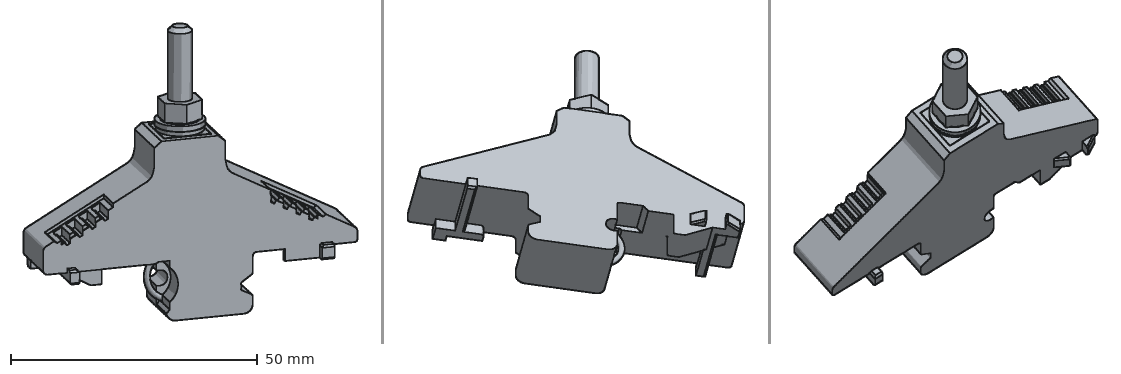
import cadquery as cq
import math


HALF_WIDTH = 6.5
REAR_END = 35.75
FRONT_END = -31.25
TOP = 38.5
NECK_HALF = 7.55
NECK_CHAMFER_Y = 1.5
NECK_CHAMFER_Z = 1.25
NECK_BEND = 33.4
ROOT_HALF = 8.05
ROOT_ROUND = 3.0
SLOPE_ANGLE = math.radians(28.4)
SLOPE_APEX = 35.15
TIP_ROUND = 1.2
REAR_HEEL_ROUND = 0.7
FRONT_HEEL_ROUND = 1.0
ARM_ROOT_ROUND = 0.8
SMALL_ROUND = 0.3
TAN = math.tan(SLOPE_ANGLE)

REAR_UNDERSIDE = 12.9
FRONT_UNDERSIDE = 12.5
UNDERCUT_TOP = 13.75
UNDERCUT_ROUND = 0.5
UNDERCUT_END = -10.3
UNDERCUT_RAMP_END = -11.4
SHELF_END = -6.7
SHELF_RAMP_END = -7.2
HOOK_FACE = -16.65
HOOK_BOTTOM = 7.1
HOOK_FLAT_END = -19.0
HOOK_RAMP_END = -28.45

FOOT_REAR = 13.45
FOOT_FRONT = -5.0
FOOT_ROUND = 2.0
REAR_NOTCH_DEPTH = 2.5
REAR_NOTCH_MOUTH_TOP = 8.4
REAR_NOTCH_FLOOR_TOP = 6.7
REAR_NOTCH_FLOOR_BOTTOM = 5.1
REAR_NOTCH_MOUTH_BOTTOM = 3.85
NOTCH_MOUTH_ROUND = 0.6
FRONT_NOTCH_HEIGHT = 7.25
FRONT_NOTCH_RADIUS = 1.65
FRONT_NOTCH_CENTRE = -4.3

POCKET_WALL = -4.3
POCKET_DEEPEST = -2.5
POCKET_BOTTOM = 4.1
POCKET_TOP = 11.4
POCKET_LEDGE = 2.5
POCKET_LIP = 1.65

WIRE_RADIUS = 0.65
SPRING_RADIUS = 5.1
SPRING_Y = -2.2
SPRING_Z = 7.95
SPRING_X = 0.75
SPRING_SLOT_WIDTH = 1.6
SPRING_SLOT_DEPTH = 3.5

CLIP_REACH = 8.3
CLIP_BOTTOM = 10.35
CLIP_TOP = 13.45
CLIP_CHAMFER = 0.45
BAR_WIDTH = 2.0
FRONT_BAR_START = -26.1
REAR_BAR_START = 24.3
BAR_LENGTH_INSIDE = 4.6
RAIL_INNER = 20.3
RAIL_OUTER = 30.3
RAIL_WIDTH = 1.9
RAIL_ROUND = 0.8
WEDGE_GAP_INNER = 23.1
WEDGE_GAP_OUTER = 27.3
WEDGE_LENGTH = 3.0
WEDGE_TIP = 0.3
WEDGE_THIN_END = 0.25
WEDGE_CHAMFER = 0.35
TAB_INNER = 27.65

REAR_GRIP_START = 17.2
REAR_GRIP_END = 29.0
REAR_GROOVES_START = 17.3
FRONT_GRIP_START = 16.35
FRONT_GRIP_END = 28.95
FRONT_GROOVES_START = 17.4
GRIP_X = 0.3
GRIP_DEPTH = 0.8
GRIP_END_RUN = 0.65
GROOVE_X = 1.1
GROOVE_PITCH = 2.7
GROOVE_COUNT = 4
GROOVE_FLOOR = 0.7
GROOVE_WALL_RUN = 0.4
GROOVE_LEDGE = 0.35
GROOVE_STEP = 0.9
RIB_END_GAP = 0.2
CUT_CLEARANCE = 1.0

STUD_TOP = 60.55
STUD_RADIUS = 2.5
STUD_CHAMFER = 0.95
PLATE_SIDE = 10.0
PLATE_RISE = 0.1
WASHER_RADIUS = 4.95
WASHER_TOP = 39.55
SPRING_WASHER_RADIUS = 5.2
SPRING_WASHER_TOP = 40.75
NUT_BOTTOM = 41.0
NUT_FLATS = 8.0
NUT_TOP = 45.1


def slope_height(y):
    """Height of the sloped tops at distance y from the stud axis."""
    return SLOPE_APEX - abs(y) * TAN


def rounded_outline(corners, x_start, length):
    """Extrude along +X a closed (y, z, radius) polygon whose corners are rounded by their radius."""
    pieces = []
    for i, (y, z, radius) in enumerate(corners):
        here = cq.Vector(y, z)
        before = (cq.Vector(*corners[i - 1][:2]) - here).normalized()
        after = (cq.Vector(*corners[(i + 1) % len(corners)][:2]) - here).normalized()
        half = before.getAngle(after) / 2
        if radius == 0:
            pieces.append((here,))
            continue
        setback = radius / math.tan(half)
        to_arc = radius / math.sin(half) - radius
        middle = here + (before + after).normalized() * to_arc
        pieces.append((here + before * setback, middle, here + after * setback))
    sketch = cq.Workplane("YZ", origin=(x_start, 0, 0)).moveTo(*pieces[0][-1].toTuple()[:2])
    for piece in pieces[1:] + pieces[:1]:
        sketch = sketch.lineTo(*piece[0].toTuple()[:2])
        if len(piece) == 3:
            sketch = sketch.threePointArc(piece[1].toTuple()[:2], piece[2].toTuple()[:2])
    return sketch.close().extrude(length)


def box(x, y, z):
    """Box between the given (low, high) limits on each axis."""
    size = [high - low for low, high in (x, y, z)]
    return cq.Workplane("XY").box(*size, centered=False).translate((x[0], y[0], z[0]))


def housing_half(x_start, front_underside):
    """One half of the housing; the halves differ only under the front arm."""
    neck_edge = NECK_HALF - NECK_CHAMFER_Y
    notch_floor = FOOT_REAR - REAR_NOTCH_DEPTH
    upper = [
        (FRONT_END, slope_height(FRONT_END), TIP_ROUND),
        (-ROOT_HALF, slope_height(ROOT_HALF), ROOT_ROUND),
        (-NECK_HALF, NECK_BEND, 0),
        (-NECK_HALF, TOP - NECK_CHAMFER_Z, 0),
        (-neck_edge, TOP, 0),
        (neck_edge, TOP, 0),
        (NECK_HALF, TOP - NECK_CHAMFER_Z, 0),
        (NECK_HALF, NECK_BEND, 0),
        (ROOT_HALF, slope_height(ROOT_HALF), ROOT_ROUND),
        (REAR_END, slope_height(REAR_END), TIP_ROUND),
        (REAR_END, REAR_UNDERSIDE, REAR_HEEL_ROUND),
    ]
    foot = [
        (FOOT_REAR, REAR_UNDERSIDE, ARM_ROOT_ROUND),
        (FOOT_REAR, REAR_NOTCH_MOUTH_TOP, NOTCH_MOUTH_ROUND),
        (notch_floor, REAR_NOTCH_FLOOR_TOP, SMALL_ROUND),
        (notch_floor, REAR_NOTCH_FLOOR_BOTTOM, SMALL_ROUND),
        (FOOT_REAR, REAR_NOTCH_MOUTH_BOTTOM, NOTCH_MOUTH_ROUND),
        (FOOT_REAR, 0, FOOT_ROUND),
        (FOOT_FRONT, 0, FOOT_ROUND),
    ]
    front_tip = [(FRONT_END, FRONT_UNDERSIDE, FRONT_HEEL_ROUND)]
    return rounded_outline(upper + foot + front_underside + front_tip, x_start, HALF_WIDTH)


def housing():
    hook_side = [
        (FOOT_FRONT, UNDERCUT_TOP, UNDERCUT_ROUND),
        (UNDERCUT_END, UNDERCUT_TOP, 0),
        (UNDERCUT_RAMP_END, FRONT_UNDERSIDE, 0),
        (HOOK_FACE, FRONT_UNDERSIDE, SMALL_ROUND),
        (HOOK_FACE, HOOK_BOTTOM, SMALL_ROUND),
        (HOOK_FLAT_END, HOOK_BOTTOM, SMALL_ROUND),
        (HOOK_RAMP_END, FRONT_UNDERSIDE, 0),
    ]
    spring_side = [
        (FOOT_FRONT, REAR_UNDERSIDE, 0),
        (SHELF_END, REAR_UNDERSIDE, 0),
        (SHELF_RAMP_END, FRONT_UNDERSIDE, 0),
    ]
    return housing_half(-HALF_WIDTH, hook_side).union(housing_half(0, spring_side))


def front_notch():
    """Round-bottomed groove across the front of the foot."""
    low = FRONT_NOTCH_HEIGHT - FRONT_NOTCH_RADIUS
    high = FRONT_NOTCH_HEIGHT + FRONT_NOTCH_RADIUS
    deepest = (FRONT_NOTCH_CENTRE + FRONT_NOTCH_RADIUS, FRONT_NOTCH_HEIGHT)
    return (
        cq.Workplane("YZ", origin=(-HALF_WIDTH, 0, 0))
        .moveTo(FOOT_FRONT, low)
        .lineTo(FRONT_NOTCH_CENTRE, low)
        .threePointArc(deepest, (FRONT_NOTCH_CENTRE, high))
        .lineTo(FOOT_FRONT, high)
        .close()
        .extrude(2 * HALF_WIDTH)
    )


def spring_pocket():
    """Hollow front of the +X half of the foot, with a deeper slot around the spring."""
    middle = (POCKET_BOTTOM + POCKET_TOP) / 2
    recess = (
        cq.Workplane("YZ")
        .moveTo(FOOT_FRONT, POCKET_LIP)
        .lineTo(POCKET_WALL, POCKET_LEDGE)
        .lineTo(POCKET_WALL, POCKET_BOTTOM)
        .threePointArc((POCKET_DEEPEST, middle), (POCKET_WALL, POCKET_TOP))
        .lineTo(POCKET_WALL, REAR_UNDERSIDE)
        .lineTo(FOOT_FRONT, REAR_UNDERSIDE)
        .close()
        .extrude(HALF_WIDTH)
    )
    spring_slot = box(
        (0, SPRING_SLOT_WIDTH),
        (FOOT_FRONT, FOOT_FRONT + SPRING_SLOT_DEPTH),
        (POCKET_LEDGE, REAR_UNDERSIDE),
    )
    return recess.union(spring_slot)


def spring():
    ring = cq.Solid.makeTorus(
        SPRING_RADIUS, WIRE_RADIUS, cq.Vector(SPRING_X, SPRING_Y, SPRING_Z), cq.Vector(1, 0, 0)
    )
    return cq.Workplane("XY").add(ring)


def slope_slot(side, y_start, x_start, profile):
    """Cutter open at +X; the profile lists (distance down the slope side, depth below the slope)."""
    depths = [(0, -CUT_CLEARANCE)] + profile + [(profile[-1][0], -CUT_CLEARANCE)]
    corners = [
        (side * (y_start + run), slope_height(y_start + run) - depth) for run, depth in depths
    ]
    return (
        cq.Workplane("YZ", origin=(x_start, 0, 0))
        .polyline(corners)
        .close()
        .extrude(HALF_WIDTH - x_start)
    )


def grip(side, y_start, y_end, first_groove):
    """Sunken field on a slope, crossed by stepped grooves that leave ribs between them."""
    length = y_end - y_start
    field = [(0, GRIP_DEPTH), (length - GRIP_END_RUN, GRIP_DEPTH), (length, 0)]
    cutter = slope_slot(side, y_start, GRIP_X, field)

    ledge_depth = GRIP_DEPTH + GROOVE_STEP
    floor_depth = ledge_depth + GROOVE_STEP
    ledge_start = GROOVE_FLOOR + GROOVE_WALL_RUN
    ledge_end = ledge_start + GROOVE_LEDGE
    groove_span = ledge_end + GROOVE_WALL_RUN
    groove = [
        (0, floor_depth),
        (GROOVE_FLOOR, floor_depth),
        (ledge_start, ledge_depth),
        (ledge_end, ledge_depth),
        (groove_span, GRIP_DEPTH),
    ]
    for i in range(GROOVE_COUNT):
        cutter = cutter.union(slope_slot(side, first_groove + i * GROOVE_PITCH, GROOVE_X, groove))

    ribs_length = (GROOVE_COUNT - 1) * GROOVE_PITCH + groove_span
    rib_ends = [(0, ledge_depth), (ribs_length, ledge_depth)]
    return cutter.union(slope_slot(side, first_groove, HALF_WIDTH - RIB_END_GAP, rib_ends))


def clip_envelope():
    """Bar shape with chamfered ends that bounds every clip."""
    return (
        box((-CLIP_REACH, CLIP_REACH), (FRONT_END, REAR_END), (CLIP_BOTTOM, CLIP_TOP))
        .edges("|Y")
        .chamfer(CLIP_CHAMFER)
    )


def latch_bar(y_low, x_start, length):
    """Cross bar, chamfered along its lower front and upper rear edges."""
    y_high = y_low + BAR_WIDTH
    return (
        cq.Workplane("YZ", origin=(x_start, 0, 0))
        .moveTo(y_low + CLIP_CHAMFER, CLIP_BOTTOM)
        .lineTo(y_high, CLIP_BOTTOM)
        .lineTo(y_high, CLIP_TOP - CLIP_CHAMFER)
        .lineTo(y_high - CLIP_CHAMFER, CLIP_TOP)
        .lineTo(y_low, CLIP_TOP)
        .lineTo(y_low, CLIP_BOTTOM + CLIP_CHAMFER)
        .close()
        .extrude(length)
    )


def wedge(y_stop, y_thin):
    """Snap wedge on the -X face: square at y_stop, running out at y_thin."""
    tip_y = y_stop + math.copysign(WEDGE_TIP, y_thin - y_stop)
    root_x = RAIL_WIDTH - HALF_WIDTH
    thin_x = -HALF_WIDTH - WEDGE_THIN_END
    plan = [
        (root_x, y_stop),
        (-CLIP_REACH, y_stop),
        (-CLIP_REACH, tip_y),
        (thin_x, y_thin),
        (root_x, y_thin),
    ]
    return (
        cq.Workplane("XY", origin=(0, 0, CLIP_BOTTOM))
        .polyline(plan)
        .close()
        .extrude(CLIP_TOP - CLIP_BOTTOM)
        .edges("not (|X or |Y or |Z)")
        .chamfer(WEDGE_CHAMFER)
    )


def clips():
    bar_length = CLIP_REACH + BAR_LENGTH_INSIDE
    front_bar = latch_bar(FRONT_BAR_START, -BAR_LENGTH_INSIDE, bar_length)
    rear_bar = latch_bar(REAR_BAR_START, -CLIP_REACH, bar_length)
    front_rail = box(
        (-HALF_WIDTH, RAIL_WIDTH - HALF_WIDTH), (-RAIL_OUTER, -RAIL_INNER), (CLIP_BOTTOM, CLIP_TOP)
    )
    rear_rail = box(
        (HALF_WIDTH - RAIL_WIDTH, HALF_WIDTH), (RAIL_INNER, RAIL_OUTER), (CLIP_BOTTOM, CLIP_TOP)
    )
    rear_rail = rear_rail.edges("|Z and <X").fillet(RAIL_ROUND)
    rear_tab = box(
        (HALF_WIDTH - RAIL_WIDTH, CLIP_REACH), (TAB_INNER, RAIL_OUTER), (CLIP_BOTTOM, CLIP_TOP)
    )
    rear_tab = rear_tab.edges("|X and >Z and <Y").chamfer(CLIP_CHAMFER)
    inner_wedge = wedge(-WEDGE_GAP_INNER, WEDGE_LENGTH - WEDGE_GAP_INNER)
    outer_wedge = wedge(-WEDGE_GAP_OUTER, -WEDGE_GAP_OUTER - WEDGE_LENGTH)
    shapes = front_bar
    for shape in (rear_bar, front_rail, rear_rail, rear_tab, inner_wedge, outer_wedge):
        shapes = shapes.union(shape)
    return shapes.intersect(clip_envelope())


def disc(radius, bottom, top):
    return cq.Workplane("XY", origin=(0, 0, bottom)).circle(radius).extrude(top - bottom)


def terminal():
    """Square seat, two washers, hexagon nut and chamfered stud."""
    seat_top = TOP + PLATE_RISE
    seat = cq.Workplane("XY", origin=(0, 0, TOP)).rect(PLATE_SIDE, PLATE_SIDE).extrude(PLATE_RISE)
    nut = (
        cq.Workplane("XY", origin=(0, 0, NUT_BOTTOM))
        .polygon(6, NUT_FLATS / math.cos(math.pi / 6))
        .extrude(NUT_TOP - NUT_BOTTOM)
    )
    stud = disc(STUD_RADIUS, TOP, STUD_TOP).faces(">Z").chamfer(STUD_CHAMFER)
    return (
        seat.union(disc(WASHER_RADIUS, seat_top, WASHER_TOP))
        .union(disc(SPRING_WASHER_RADIUS, WASHER_TOP, SPRING_WASHER_TOP))
        .union(disc(NUT_FLATS / 2, SPRING_WASHER_TOP, NUT_BOTTOM))
        .union(nut)
        .union(stud)
    )


result = (
    housing()
    .cut(front_notch())
    .cut(spring_pocket())
    .union(spring())
    .cut(grip(1, REAR_GRIP_START, REAR_GRIP_END, REAR_GROOVES_START))
    .cut(grip(-1, FRONT_GRIP_START, FRONT_GRIP_END, FRONT_GROOVES_START))
    .union(clips())
    .union(terminal())
)